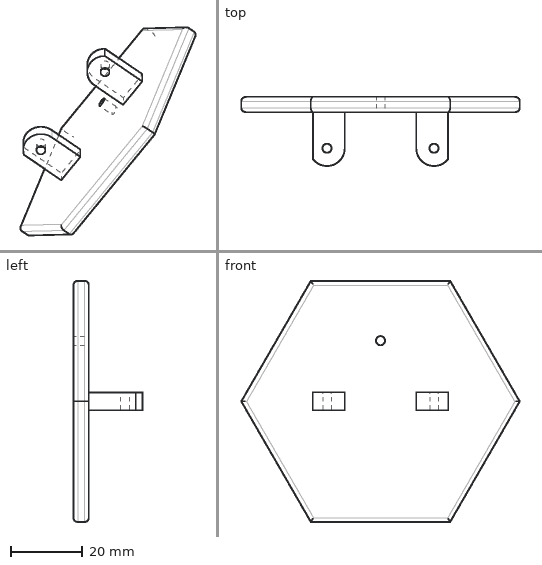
import cadquery as cq
import math

hex_width = 77.95
plate_thickness = 4.4
edge_radius = 1.25
hex_height = hex_width * math.sqrt(3) / 2

hole_diameter = 2.5
hanging_hole_height = 17.0

lug_reach = 15.05
lug_height = 5.0
tip_radius = 5.0
lug_inner_x = 10.0
lug_width = 9.0
lug_outer_x = lug_inner_x + lug_width
pin_x = lug_inner_x + tip_radius
pin_y = -(lug_reach - tip_radius)


def make_plate():
    plate = cq.Workplane("XZ").polygon(6, hex_width).extrude(-plate_thickness)
    plate = plate.faces("<Y or >Y").edges().fillet(edge_radius)
    hanging_hole = (
        cq.Workplane("XZ")
        .center(0, hanging_hole_height)
        .circle(hole_diameter / 2)
        .extrude(-plate_thickness)
    )
    return plate.cut(hanging_hole)


def make_lug():
    """Right-hand lug, whose tip arc is cut off by the straight outer side."""
    outer_arc_drop = math.sqrt(tip_radius**2 - (lug_outer_x - pin_x) ** 2)
    root_y = plate_thickness / 2
    return (
        cq.Workplane("XY")
        .moveTo(lug_inner_x, root_y)
        .lineTo(lug_inner_x, pin_y)
        .threePointArc((pin_x, -lug_reach), (lug_outer_x, pin_y - outer_arc_drop))
        .lineTo(lug_outer_x, root_y)
        .close()
        .moveTo(pin_x, pin_y)
        .circle(hole_diameter / 2)
        .extrude(lug_height / 2, both=True)
    )


right_lug = make_lug()
left_lug = right_lug.mirror("YZ")
result = make_plate().union(right_lug).union(left_lug)